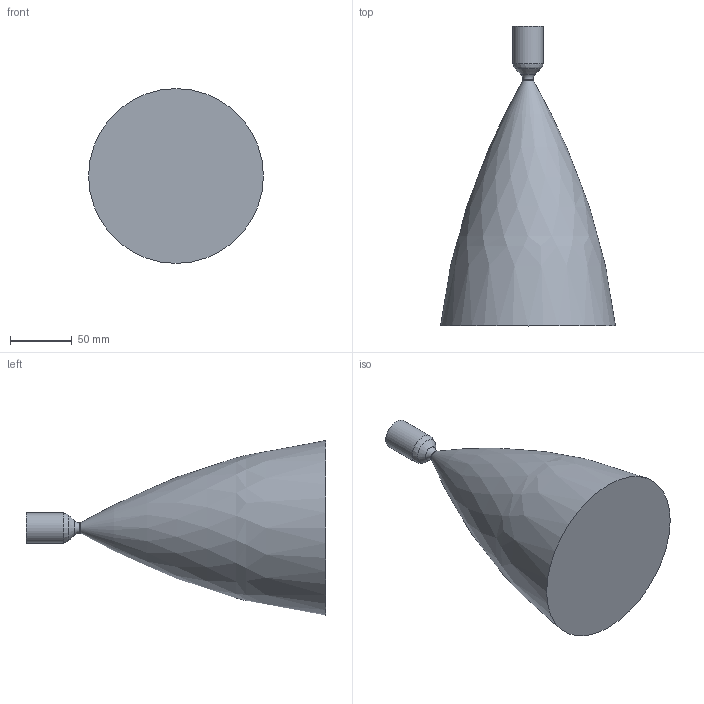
import math

import cadquery as cq


OVERALL_LENGTH = 243.59
EXIT_RADIUS = 71.0
EXPANSION_RATIO = 300.0
CHAMBER_RADIUS = 12.2
NOZZLE_LENGTH = 200.0
CONVERGENCE_ANGLE = 45.0
NOZZLE_START_ANGLE = 29.5
NOZZLE_EXIT_ANGLE = 6.5
ENTRY_ARC_RATIO = 1.5
THROAT_EXIT_ARC_RATIO = 0.382

throat_radius = EXIT_RADIUS / math.sqrt(EXPANSION_RATIO)
entry_arc_radius = ENTRY_ARC_RATIO * throat_radius
throat_exit_arc_radius = THROAT_EXIT_ARC_RATIO * throat_radius
convergence = math.radians(CONVERGENCE_ANGLE)
start_angle = math.radians(NOZZLE_START_ANGLE)
exit_angle = math.radians(NOZZLE_EXIT_ANGLE)
chamber_end_y = OVERALL_LENGTH - NOZZLE_LENGTH
exit_y = -NOZZLE_LENGTH


def arc_point(center, radius, angle):
    """Point (radius from axis, Y) on an arc; the angle is measured from the +radial direction."""
    return (center[0] + radius * math.cos(angle), center[1] + radius * math.sin(angle))


def bell_control_point(start, end):
    """Corner where the start and exit tangents of the bell wall meet."""
    start_slope = math.tan(start_angle)
    exit_slope = math.tan(exit_angle)
    run = (end[0] - start[0] - exit_slope * (start[1] - end[1])) / (start_slope - exit_slope)
    return (start[0] + start_slope * run, start[1] - run)


def engine_profile():
    """Half section from the axis out to the wall, in (radius, Y)."""
    throat = (throat_radius, 0.0)
    throat_exit_center = (throat_radius + throat_exit_arc_radius, 0.0)
    bell_start = arc_point(throat_exit_center, throat_exit_arc_radius, math.pi + start_angle)
    throat_exit_mid = arc_point(throat_exit_center, throat_exit_arc_radius, math.pi + start_angle / 2)
    entry_center = (throat_radius + entry_arc_radius, 0.0)
    entry_mid = arc_point(entry_center, entry_arc_radius, math.pi - convergence / 2)
    cone_small_end = arc_point(entry_center, entry_arc_radius, math.pi - convergence)

    shoulder_center_radius = CHAMBER_RADIUS - entry_arc_radius
    cone_large_radius = shoulder_center_radius + entry_arc_radius * math.cos(convergence)
    cone_length = (cone_large_radius - cone_small_end[0]) / math.tan(convergence)
    cone_large_end = (cone_large_radius, cone_small_end[1] + cone_length)
    shoulder_y = cone_large_end[1] + entry_arc_radius * math.sin(convergence)
    shoulder_center = (shoulder_center_radius, shoulder_y)
    shoulder_mid = arc_point(shoulder_center, entry_arc_radius, -convergence / 2)
    shoulder_end = (CHAMBER_RADIUS, shoulder_y)

    exit_rim = (EXIT_RADIUS, exit_y)
    bell_corner = bell_control_point(bell_start, exit_rim)

    return (
        cq.Workplane("XY")
        .moveTo(0, exit_y)
        .lineTo(*exit_rim)
        .bezier([exit_rim, bell_corner, bell_start])
        .threePointArc(throat_exit_mid, throat)
        .threePointArc(entry_mid, cone_small_end)
        .lineTo(*cone_large_end)
        .threePointArc(shoulder_mid, shoulder_end)
        .lineTo(CHAMBER_RADIUS, chamber_end_y)
        .lineTo(0, chamber_end_y)
        .close()
    )


result = engine_profile().revolve(360, (0, 0), (0, 1))